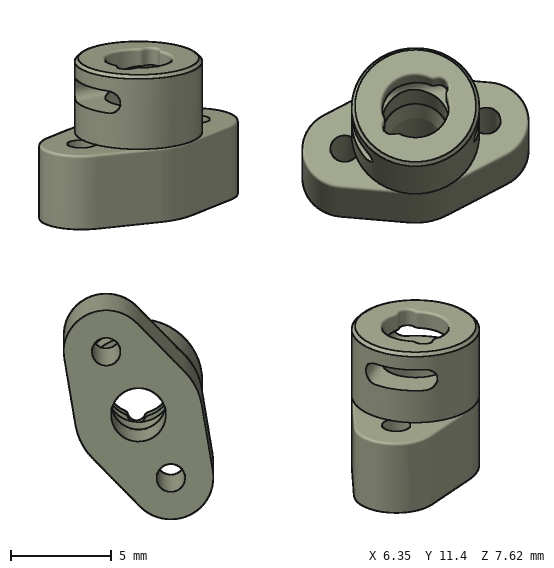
import cadquery as cq
import math

length = 11.41
width = 6.35
height = 7.62

flange_height = 3.82
waist_radius = width / 2
end_radius = 2.11
end_offset = length / 2 - end_radius
flange_edge_radius = 0.14
screw_hole_radius = 0.71
through_hole_radius = 1.36
taper_depth = 1.14

collar_radius = 3.17
collar_height = height - flange_height
collar_chamfer = 0.17
bore_radius = 1.65
mouth_radius = 0.14

slot_width = 3.69
slot_height = 1.14
slot_center_z = 6.15

notch_radius = 0.43
notch_center_offset = 1.57
notch_blend_radius = 0.34
notch_angle = 120.0

tolerance = 0.0001


def flange_outline():
    """Waist and end arcs joined by their common tangent lines."""
    tangent_sin = (waist_radius - end_radius) / end_offset
    tangent_cos = math.sqrt(1 - tangent_sin**2)
    waist_x = waist_radius * tangent_cos
    waist_y = waist_radius * tangent_sin
    end_x = end_radius * tangent_cos
    end_y = end_offset + end_radius * tangent_sin
    return (
        cq.Workplane("XY")
        .moveTo(waist_x, -waist_y)
        .threePointArc((waist_radius, 0), (waist_x, waist_y))
        .lineTo(end_x, end_y)
        .threePointArc((0, length / 2), (-end_x, end_y))
        .lineTo(-waist_x, waist_y)
        .threePointArc((-waist_radius, 0), (-waist_x, -waist_y))
        .lineTo(-end_x, -end_y)
        .threePointArc((0, -length / 2), (end_x, -end_y))
        .close()
    )


def make_flange():
    """Plate with two screw holes and a tapered center hole."""
    plate = flange_outline().extrude(flange_height)
    plate = plate.faces(">Z").edges().fillet(flange_edge_radius)
    screw_holes = (
        cq.Workplane("XY")
        .pushPoints([(0, -end_offset), (0, end_offset)])
        .circle(screw_hole_radius)
        .extrude(flange_height)
    )
    center_hole = cq.Workplane("XY").circle(through_hole_radius).extrude(flange_height)
    plate = plate.cut(screw_holes).cut(center_hole)
    taper_base = cq.Vector(0, 0, flange_height - taper_depth)
    taper = cq.Solid.makeCone(through_hole_radius, bore_radius, taper_depth, pnt=taper_base)
    return plate.cut(cq.Workplane(obj=taper))


def make_key_notch(angle):
    """Round-ended radial cutter reaching from the axis to the notch end."""
    return (
        cq.Workplane("XY")
        .workplane(offset=slot_center_z)
        .center(notch_center_offset / 2, 0)
        .slot2D(notch_center_offset + 2 * notch_radius, 2 * notch_radius)
        .extrude(height - slot_center_z)
        .rotate((0, 0, 0), (0, 0, 1), angle)
    )


def is_notch_corner(edge):
    """True for a notch-depth edge lying on the bore wall."""
    center = edge.Center()
    on_bore = abs(math.hypot(center.x, center.y) - bore_radius) < tolerance
    return on_bore and abs(edge.Length() - (height - slot_center_z)) < tolerance


def make_collar():
    """Chamfered ring with a keyed, rounded mouth and a cross slot."""
    collar = cq.Workplane("XY").workplane(offset=flange_height).circle(collar_radius).extrude(collar_height)
    bore = cq.Workplane("XY").workplane(offset=flange_height).circle(bore_radius).extrude(collar_height)
    collar = collar.cut(bore)
    for angle in (notch_angle, notch_angle + 180):
        collar = collar.cut(make_key_notch(angle))
    notch_corners = [edge for edge in collar.edges("|Z").vals() if is_notch_corner(edge)]
    collar = collar.newObject(notch_corners).fillet(notch_blend_radius)
    mouth_edges = collar.faces(">Z").val().innerWires()[0].Edges()
    collar = collar.newObject(mouth_edges).fillet(mouth_radius)
    rim_edges = collar.faces(">Z").val().outerWire().Edges()
    collar = collar.newObject(rim_edges).chamfer(collar_chamfer)
    slot = (
        cq.Workplane("XZ")
        .center(0, slot_center_z)
        .slot2D(slot_width, slot_height)
        .extrude(collar_radius, both=True)
    )
    return collar.cut(slot)


flange = make_flange()
collar = make_collar()
result = cq.Compound.makeCompound([flange.val(), collar.val()])